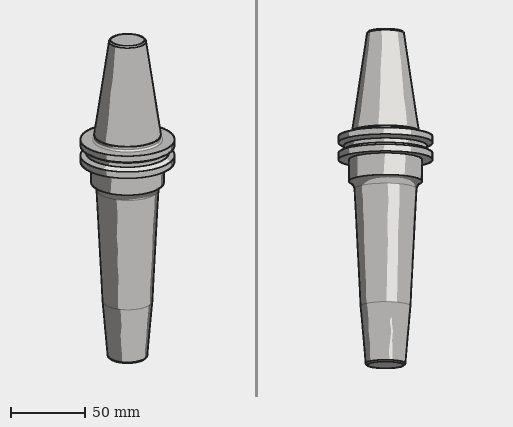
import cadquery as cq

overall_length = 228.5

nose_radius = 13.5
nose_chamfer = 1.1
nose_top = 40.5
body_lower_radius = 17.0
body_upper_radius = 21.0
body_top = 120.8

collar_radius = 24.7
collar_bottom = 125.8
blend_mid_radius = 22.2
blend_mid_height = 123.8

flange_radius = 31.7
flange_bottom = 140.7
flange_top = 156.7
groove_floor_radius = 28.0
groove_floor_bottom = 147.3
groove_floor_top = 150.3
groove_bevel_height = 2.0

neck_radius = 22.2
neck_fillet = 1.4
neck_top = 159.7
neck_step_height = 0.5
gauge_radius = 22.5
shank_end_radius = 12.5
shank_chamfer = 1.1

profile = (
    cq.Workplane("XZ")
    .lineTo(nose_radius - nose_chamfer, 0)
    .lineTo(nose_radius, nose_chamfer)
    .lineTo(body_lower_radius, nose_top)
    .lineTo(body_upper_radius, body_top)
    .threePointArc((blend_mid_radius, blend_mid_height), (collar_radius, collar_bottom))
    .lineTo(collar_radius, flange_bottom)
    .lineTo(flange_radius, flange_bottom)
    .lineTo(flange_radius, groove_floor_bottom - groove_bevel_height)
    .lineTo(groove_floor_radius, groove_floor_bottom)
    .lineTo(groove_floor_radius, groove_floor_top)
    .lineTo(flange_radius, groove_floor_top + groove_bevel_height)
    .lineTo(flange_radius, flange_top)
    .lineTo(neck_radius + neck_fillet, flange_top)
    .radiusArc((neck_radius, flange_top + neck_fillet), neck_fillet)
    .lineTo(neck_radius, neck_top)
    .lineTo(gauge_radius, neck_top + neck_step_height)
    .lineTo(shank_end_radius, overall_length - shank_chamfer)
    .lineTo(shank_end_radius - shank_chamfer, overall_length)
    .lineTo(0, overall_length)
    .close()
)

result = profile.revolve(360, (0, 0, 0), (0, 1, 0))